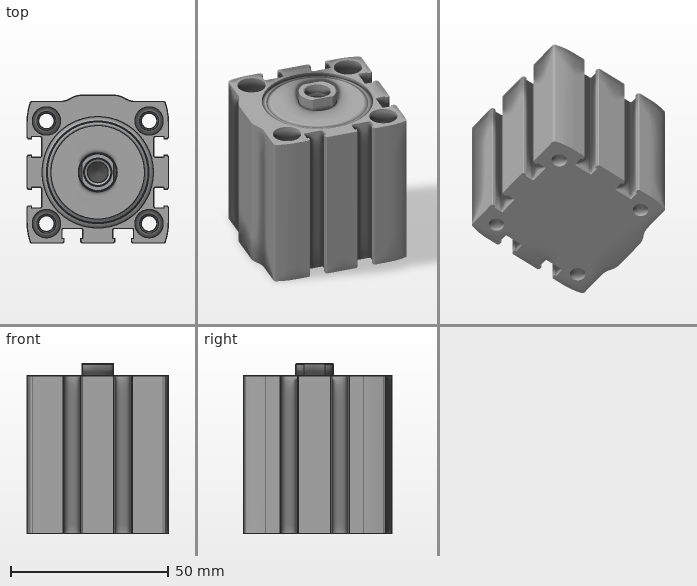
import cadquery as cq
import math

HALF_WIDTH = 22.5
BODY_HEIGHT = 50.2
SIDE_FLAT_HALF = 15.6
SIDE_ARC_DROP = 1.16
CORNER_RADIUS = 0.8
BUMP_HEIGHT = 2.0
BUMP_TOP_HALF = 5.1
BUMP_FOOT_HALF = 12.0

SLOT_OFFSET = 8.05
SLOT_DEPTH = 4.65
SLOT_WIDTH = 6.5
NECK_WIDTH = 5.2
NECK_DEPTH = 1.5
SLOT_CORNER_RADIUS = 0.4
NECK_EDGE_RADIUS = 0.4

MOUNT_OFFSET = 16.3
MOUNT_HOLE_DIAMETER = 4.92
MOUNT_CHAMFER_DIAMETER = 6.0
COUNTERBORE_DIAMETER = 9.0
COUNTERBORE_DEPTH = 5.0

RECESS_RADIUS = 35.4 / 2
RECESS_DEPTH = 1.25
RING_INNER_RADIUS = 16.3
RING_INNER_DEPTH = 0.45
CAP_RADIUS = 32.0 / 2
CAP_RIM_DEPTH = 0.95
CAP_SHOULDER_RADIUS = 15.2
CAP_SHOULDER_DEPTH = 0.35
CAP_TOP_RADIUS = 14.85
CAP_TOP_DEPTH = 0.2

ROD_DIAMETER = 12.0
ROD_TOP = 54.0
ROD_BOTTOM = 10.0
ROD_EDGE_CHAMFER = 0.2
ROD_CLEARANCE_DIAMETER = 12.4
ROD_CLEARANCE_DEPTH = 1.5
FLAT_WIDTH = 10.0
FLAT_END = 49.4
FLAT_RUNOUT_ANGLE = math.radians(30)
ROD_HOLE_MOUTH_DIAMETER = 9.0
ROD_BORE_DIAMETER = 8.4
ROD_BORE_DEPTH = 3.3
ROD_THREAD_DIAMETER = 6.65
ROD_THREAD_DEPTH = 14.0
DRILL_HALF_ANGLE = math.radians(59)
BORE_STEP_HALF_ANGLE = math.radians(55)


def revolve_profile(points):
    """Revolve a closed outline of (radius, height) points about the Z axis."""
    return cq.Workplane("XZ").polyline(points).close().revolve(360, (0, 0), (0, 1))


def make_profile():
    """Extrude the outer outline of the housing, without slots."""
    corner_x = HALF_WIDTH - SIDE_ARC_DROP
    bump_y = HALF_WIDTH + BUMP_HEIGHT
    bump_middle_x = (BUMP_TOP_HALF + BUMP_FOOT_HALF) / 2
    bump_middle_y = HALF_WIDTH + BUMP_HEIGHT / 2
    body = (
        cq.Workplane("XY")
        .moveTo(HALF_WIDTH, -SIDE_FLAT_HALF)
        .lineTo(HALF_WIDTH, SIDE_FLAT_HALF)
        .tangentArcPoint((corner_x, HALF_WIDTH), relative=False)
        .lineTo(BUMP_FOOT_HALF, HALF_WIDTH)
        .tangentArcPoint((bump_middle_x, bump_middle_y), relative=False)
        .tangentArcPoint((BUMP_TOP_HALF, bump_y), relative=False)
        .lineTo(-BUMP_TOP_HALF, bump_y)
        .tangentArcPoint((-bump_middle_x, bump_middle_y), relative=False)
        .tangentArcPoint((-BUMP_FOOT_HALF, HALF_WIDTH), relative=False)
        .lineTo(-corner_x, HALF_WIDTH)
        .threePointArc(side_arc_middle(-1, 1), (-HALF_WIDTH, SIDE_FLAT_HALF))
        .lineTo(-HALF_WIDTH, -SIDE_FLAT_HALF)
        .tangentArcPoint((-corner_x, -HALF_WIDTH), relative=False)
        .lineTo(corner_x, -HALF_WIDTH)
        .threePointArc(side_arc_middle(1, -1), (HALF_WIDTH, -SIDE_FLAT_HALF))
        .close()
        .extrude(BODY_HEIGHT)
    )
    corners = body.edges("|Z").filter(is_outer_corner)
    return body.newObject(corners.vals()).fillet(CORNER_RADIUS)


def side_arc_middle(x_sign, y_sign):
    """Middle point of the arc that runs from an X side flat to a corner, tangent to the flat."""
    length = HALF_WIDTH - SIDE_FLAT_HALF
    radius = (length**2 + SIDE_ARC_DROP**2) / (2 * SIDE_ARC_DROP)
    half_angle = math.asin(length / radius) / 2
    x = HALF_WIDTH - radius * (1 - math.cos(half_angle))
    y = SIDE_FLAT_HALF + radius * math.sin(half_angle)
    return (x_sign * x, y_sign * y)


def is_outer_corner(edge):
    """Select the four upright edges where the side arcs meet the front and back faces."""
    center = edge.Center()
    on_face = math.isclose(abs(center.y), HALF_WIDTH, abs_tol=0.01)
    on_corner = math.isclose(abs(center.x), HALF_WIDTH - SIDE_ARC_DROP, abs_tol=0.01)
    return on_face and on_corner


def make_slot():
    """T-shaped slot cutter opening through the -Y face, centred on X = 0."""
    mouth_y = -HALF_WIDTH
    neck_end_y = mouth_y + NECK_DEPTH
    floor_y = mouth_y + SLOT_DEPTH
    cavity = (
        cq.Workplane("XY")
        .center(0, (neck_end_y + floor_y) / 2)
        .rect(SLOT_WIDTH, floor_y - neck_end_y)
        .extrude(BODY_HEIGHT)
        .edges("|Z and >Y")
        .fillet(SLOT_CORNER_RADIUS)
    )
    half_neck = NECK_WIDTH / 2
    half_mouth = half_neck + NECK_EDGE_RADIUS
    round_start_y = mouth_y + NECK_EDGE_RADIUS
    neck = (
        cq.Workplane("XY")
        .moveTo(-half_mouth, mouth_y)
        .lineTo(half_mouth, mouth_y)
        .radiusArc((half_neck, round_start_y), -NECK_EDGE_RADIUS)
        .lineTo(half_neck, neck_end_y)
        .lineTo(-half_neck, neck_end_y)
        .lineTo(-half_neck, round_start_y)
        .radiusArc((-half_mouth, mouth_y), -NECK_EDGE_RADIUS)
        .close()
        .extrude(BODY_HEIGHT)
    )
    return cavity.union(neck)


def make_mount_hole():
    """Cutter for one through hole with a counterbore and a chamfered thread mouth."""
    hole_radius = MOUNT_HOLE_DIAMETER / 2
    mouth_radius = MOUNT_CHAMFER_DIAMETER / 2
    bore_radius = COUNTERBORE_DIAMETER / 2
    floor_z = BODY_HEIGHT - COUNTERBORE_DEPTH
    return revolve_profile([
        (0, 0),
        (hole_radius, 0),
        (hole_radius, floor_z - (mouth_radius - hole_radius)),
        (mouth_radius, floor_z),
        (bore_radius, floor_z),
        (bore_radius, BODY_HEIGHT),
        (0, BODY_HEIGHT),
    ])


def make_cap_recess():
    """Cutter that leaves the cap and its retaining ring below the top face."""
    return revolve_profile([
        (0, BODY_HEIGHT),
        (RECESS_RADIUS, BODY_HEIGHT),
        (RECESS_RADIUS, BODY_HEIGHT - RECESS_DEPTH),
        (RING_INNER_RADIUS, BODY_HEIGHT - RING_INNER_DEPTH),
        (CAP_RADIUS, BODY_HEIGHT - CAP_RIM_DEPTH),
        (CAP_SHOULDER_RADIUS, BODY_HEIGHT - CAP_SHOULDER_DEPTH),
        (CAP_TOP_RADIUS, BODY_HEIGHT - CAP_TOP_DEPTH),
        (0, BODY_HEIGHT - CAP_TOP_DEPTH),
    ])


def make_housing():
    housing = make_profile()
    slot = make_slot()
    for side_angle in (-90, 0, 90):
        for offset in (-SLOT_OFFSET, SLOT_OFFSET):
            placed_slot = slot.translate((offset, 0, 0)).rotate((0, 0, 0), (0, 0, 1), side_angle)
            housing = housing.cut(placed_slot)
    mount_hole = make_mount_hole()
    for x in (-MOUNT_OFFSET, MOUNT_OFFSET):
        for y in (-MOUNT_OFFSET, MOUNT_OFFSET):
            housing = housing.cut(mount_hole.translate((x, y, 0)))
    housing = housing.cut(make_cap_recess())
    rod_bore = (
        cq.Workplane("XY")
        .workplane(offset=ROD_BOTTOM)
        .circle(ROD_DIAMETER / 2)
        .extrude(BODY_HEIGHT - ROD_BOTTOM)
    )
    rod_clearance = (
        cq.Workplane("XY")
        .workplane(offset=BODY_HEIGHT - ROD_CLEARANCE_DEPTH)
        .circle(ROD_CLEARANCE_DIAMETER / 2)
        .extrude(ROD_CLEARANCE_DEPTH)
    )
    return housing.cut(rod_bore).cut(rod_clearance)


def make_flat_cutter():
    """Cutter for the wrench flat on the +X side of the rod, with a sloped run-out."""
    flat_x = FLAT_WIDTH / 2
    outer_x = ROD_DIAMETER
    runout_z = FLAT_END - (outer_x - flat_x) * math.tan(FLAT_RUNOUT_ANGLE)
    return (
        cq.Workplane("XZ")
        .moveTo(flat_x, FLAT_END)
        .lineTo(outer_x, runout_z)
        .lineTo(outer_x, ROD_TOP)
        .lineTo(flat_x, ROD_TOP)
        .close()
        .extrude(ROD_DIAMETER, both=True)
    )


def make_rod_hole():
    """Cutter for the stepped threaded hole with its drill point."""
    mouth_radius = ROD_HOLE_MOUTH_DIAMETER / 2
    bore_radius = ROD_BORE_DIAMETER / 2
    thread_radius = ROD_THREAD_DIAMETER / 2
    bore_end_z = ROD_TOP - ROD_BORE_DEPTH
    thread_start_z = bore_end_z - (bore_radius - thread_radius) / math.tan(BORE_STEP_HALF_ANGLE)
    thread_end_z = ROD_TOP - ROD_THREAD_DEPTH
    return revolve_profile([
        (0, ROD_TOP),
        (mouth_radius, ROD_TOP),
        (bore_radius, ROD_TOP - (mouth_radius - bore_radius)),
        (bore_radius, bore_end_z),
        (thread_radius, thread_start_z),
        (thread_radius, thread_end_z),
        (0, thread_end_z - thread_radius / math.tan(DRILL_HALF_ANGLE)),
    ])


def make_rod():
    rod = (
        cq.Workplane("XY")
        .workplane(offset=ROD_BOTTOM)
        .circle(ROD_DIAMETER / 2)
        .extrude(ROD_TOP - ROD_BOTTOM)
        .faces(">Z")
        .chamfer(ROD_EDGE_CHAMFER)
    )
    flat_cutter = make_flat_cutter()
    for angle in (0, 180):
        rod = rod.cut(flat_cutter.rotate((0, 0, 0), (0, 0, 1), angle))
    return rod.cut(make_rod_hole())


housing = make_housing()
rod = make_rod()
result = cq.Compound.makeCompound([housing.val(), rod.val()])